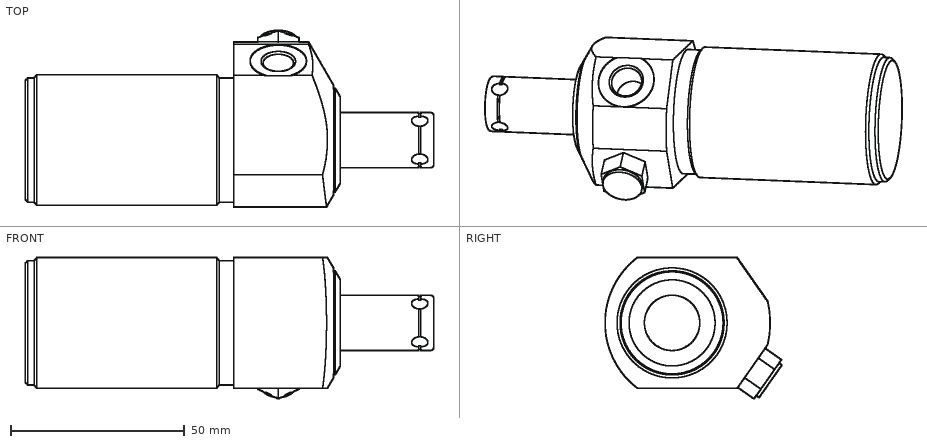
import cadquery as cq
import math


overall_length = 118.1
collar_length = 2.6
barrel_end = 56.1
head_start = 60.25
nose_end = 91.1
port_x = 73.15

barrel_radius = 18.9
collar_radius = 18.0
collar_chamfer = 0.8
barrel_chamfer_length = 0.8

head_near_radius = 23.75
head_near_center_y = 4.35
head_far_radius = 28.35
head_half_height = 18.9
slant_normal_angle = 35.0
slant_edge_y = 18.8
slant_center_from_edge = 7.2

nose_radius = 12.45
nose_slope = math.tan(math.radians(60))
nose_groove_x = 89.1
nose_groove_width = 0.5
nose_groove_depth = 0.3

rod_radius = 8.0
rod_end_fillet = 1.0
rod_groove_x = 114.0
rod_groove_width = 0.6
rod_groove_depth = 0.3
dimple_radius = 2.35
dimple_count = 4
dimple_first_angle = 45.0

spotface_radius = 8.15
spotface_depth = 0.2
port_radius = 4.4
port_depth = 10.0
port_mouth_chamfer = 0.6

hex_across_flats = 12.0
hex_height = 5.75
plug_disc_radius = 5.75
plug_disc_height = 1.0


def cylinder_x(radius, start, end):
    """Cylinder on the body axis between two X positions."""
    return cq.Workplane("YZ", origin=(start, 0, 0)).circle(radius).extrude(end - start)


def ring_cutter(outer_radius, inner_radius, start, width):
    """Annulus about the body axis, used to cut grooves."""
    profile = cq.Workplane("YZ", origin=(start, 0, 0)).circle(outer_radius).circle(inner_radius)
    return profile.extrude(width)


def slant_plane(side):
    """Plane on a slanted face; side is +1 for upper, -1 for lower. Local X runs along +X."""
    angle = math.radians(slant_normal_angle)
    center_y = slant_edge_y + slant_center_from_edge * math.sin(angle)
    center_z = head_half_height - slant_center_from_edge * math.cos(angle)
    return cq.Plane(
        origin=(port_x, center_y, side * center_z),
        xDir=(1, 0, 0),
        normal=(0, math.cos(angle), side * math.sin(angle)),
    )


def make_barrel():
    return (
        cq.Workplane("XY")
        .moveTo(0, 0)
        .lineTo(0, collar_radius - collar_chamfer)
        .lineTo(collar_chamfer, collar_radius)
        .lineTo(collar_length, collar_radius)
        .lineTo(collar_length + barrel_chamfer_length, barrel_radius)
        .lineTo(barrel_end - barrel_chamfer_length, barrel_radius)
        .lineTo(barrel_end, collar_radius)
        .lineTo(head_start, collar_radius)
        .lineTo(head_start, 0)
        .close()
        .revolve(360, (0, 0, 0), (1, 0, 0))
    )


def make_head():
    length = nose_end - head_start
    section = cq.Workplane("YZ", origin=(head_start, 0, 0))
    near_y = head_near_center_y - math.sqrt(head_near_radius**2 - head_half_height**2)
    near_apex_y = head_near_center_y - head_near_radius

    angle = math.radians(slant_normal_angle)
    face_distance = slant_edge_y * math.cos(angle) + head_half_height * math.sin(angle)
    far_angle = angle - math.acos(face_distance / head_far_radius)
    far_y = head_far_radius * math.cos(far_angle)
    far_z = head_far_radius * math.sin(far_angle)

    head = (
        section.moveTo(near_y, head_half_height)
        .lineTo(slant_edge_y, head_half_height)
        .lineTo(far_y, far_z)
        .threePointArc((head_far_radius, 0), (far_y, -far_z))
        .lineTo(slant_edge_y, -head_half_height)
        .lineTo(near_y, -head_half_height)
        .threePointArc((near_apex_y, 0), (near_y, head_half_height))
        .close()
        .extrude(length)
    )

    cone_base_radius = nose_radius + length * nose_slope
    cone = (
        cq.Workplane("XY")
        .moveTo(head_start, 0)
        .lineTo(head_start, cone_base_radius)
        .lineTo(nose_end, nose_radius)
        .lineTo(nose_end, 0)
        .close()
        .revolve(360, (0, 0, 0), (1, 0, 0))
    )
    head = head.intersect(cone)

    groove_front = nose_groove_x + nose_groove_width
    groove_floor = nose_radius + (nose_end - groove_front) * nose_slope - nose_groove_depth
    return head.cut(ring_cutter(head_far_radius, groove_floor, nose_groove_x, nose_groove_width))


def make_rod():
    rod = cylinder_x(rod_radius, nose_end, overall_length).faces(">X").edges().fillet(rod_end_fillet)
    groove_start = rod_groove_x - rod_groove_width / 2
    groove_floor = rod_radius - rod_groove_depth
    rod = rod.cut(ring_cutter(2 * rod_radius, groove_floor, groove_start, rod_groove_width))

    for index in range(dimple_count):
        angle = math.radians(dimple_first_angle + index * 360 / dimple_count)
        outward = cq.Vector(0, math.cos(angle), math.sin(angle))
        apex = cq.Vector(rod_groove_x, 0, 0) + outward * (rod_radius - dimple_radius)
        cone = cq.Solid.makeCone(0, 2 * dimple_radius, 2 * dimple_radius, apex, outward)
        rod = rod.cut(cq.Workplane(cone))
    return rod


def cut_port(body):
    plane = slant_plane(1)
    spotface = cq.Workplane(plane).workplane(offset=-spotface_depth)
    clearance = spotface.circle(spotface_radius).extrude(port_depth)
    bore = spotface.circle(port_radius).extrude(-port_depth)
    mouth = (
        spotface.circle(port_radius + port_mouth_chamfer)
        .workplane(offset=-port_mouth_chamfer)
        .circle(port_radius)
        .loft()
    )
    return body.cut(clearance).cut(bore).cut(mouth)


def make_plug():
    corner_diameter = hex_across_flats / math.cos(math.radians(30))
    base = cq.Workplane(slant_plane(-1)).transformed(rotate=(0, 0, 90))
    hexagon = base.polygon(6, corner_diameter).extrude(hex_height)
    disc = base.circle(plug_disc_radius).extrude(hex_height + plug_disc_height)
    return hexagon.union(disc)


result = make_barrel().union(make_head()).union(make_rod())
result = cut_port(result).union(make_plug())